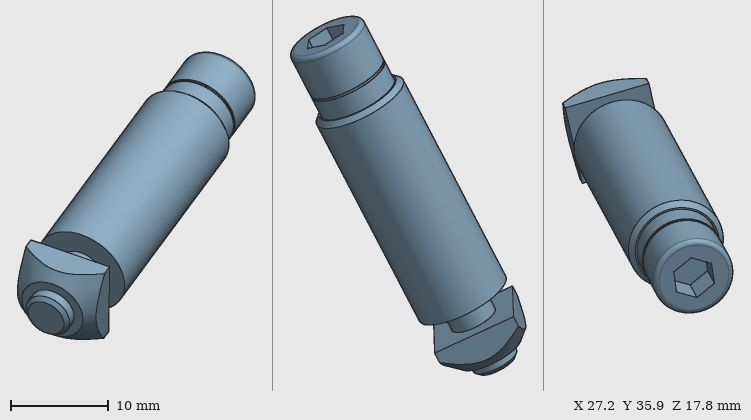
import cadquery as cq
import math

AXIS_HEADING = -56.8
AXIS_PITCH = -14.5

HEAD_DIAMETER = 8.4
HEAD_LENGTH = 10.0
HEAD_ROUND = 0.5
GROOVE_START = 5.0
GROOVE_WIDTH = 0.25
GROOVE_DEPTH = 0.07
SHANK_DIAMETER = 5.0
SCREW_LENGTH = 40.02
TIP_DIAMETER = 4.12
SOCKET_ACROSS_FLATS = 4.0
SOCKET_DEPTH = 3.0
SOCKET_SPIN = 26

SLEEVE_DIAMETER = 10.0
COUNTERBORE_DIAMETER = 8.5
SLEEVE_START = 7.42
SLEEVE_CHAMFER = 0.57
SLEEVE_END = 32.0

NUT_SIDE = 9.0
NUT_START = 34.55
NUT_LENGTH = 4.0
NUT_FRONT_DIAMETER = 7.0
NUT_CONE_ANGLE = 45
NUT_SPIN = -8

heading = math.radians(AXIS_HEADING)
pitch = math.radians(AXIS_PITCH)
AXIS = cq.Vector(
    math.cos(pitch) * math.cos(heading),
    math.cos(pitch) * math.sin(heading),
    math.sin(pitch),
)
LEVEL = cq.Vector(math.sin(heading), -math.cos(heading), 0)


HEAD_SIDE = cq.selectors.DirectionMinMaxSelector(AXIS, False)
TIP_SIDE = cq.selectors.DirectionMinMaxSelector(AXIS, True)


def axis_plane(distance, spin=0):
    """Plane across the axis, with its x direction turned by spin from level."""
    middle = SCREW_LENGTH / 2
    plane = cq.Plane(origin=AXIS * (distance - middle), xDir=LEVEL, normal=AXIS)
    return plane.rotated((0, 0, spin))


def cylinder(diameter, start, end):
    return cq.Workplane(axis_plane(start)).circle(diameter / 2).extrude(end - start)


def make_screw():
    head = cylinder(HEAD_DIAMETER, 0, HEAD_LENGTH)
    head = head.faces(HEAD_SIDE).edges().fillet(HEAD_ROUND)
    groove_end = GROOVE_START + GROOVE_WIDTH
    groove = cylinder(HEAD_DIAMETER, GROOVE_START, groove_end)
    groove = groove.cut(cylinder(HEAD_DIAMETER - 2 * GROOVE_DEPTH, GROOVE_START, groove_end))
    head = head.cut(groove)
    shank = cylinder(SHANK_DIAMETER, HEAD_LENGTH, SCREW_LENGTH)
    tip_chamfer = (SHANK_DIAMETER - TIP_DIAMETER) / 2
    shank = shank.faces(TIP_SIDE).edges().chamfer(tip_chamfer)
    across_corners = SOCKET_ACROSS_FLATS / math.cos(math.radians(30))
    socket = cq.Workplane(axis_plane(0, SOCKET_SPIN)).polygon(6, across_corners).extrude(SOCKET_DEPTH)
    return head.union(shank).cut(socket)


def make_sleeve():
    barrel = cylinder(SLEEVE_DIAMETER, SLEEVE_START, SLEEVE_END)
    barrel = barrel.faces(HEAD_SIDE).edges().chamfer(SLEEVE_CHAMFER)
    counterbore = cylinder(COUNTERBORE_DIAMETER, SLEEVE_START, HEAD_LENGTH)
    bore = cylinder(SHANK_DIAMETER, HEAD_LENGTH, SLEEVE_END)
    return barrel.cut(counterbore).cut(bore)


def make_nut():
    nut_end = NUT_START + NUT_LENGTH
    block = cq.Workplane(axis_plane(NUT_START, NUT_SPIN)).rect(NUT_SIDE, NUT_SIDE).extrude(NUT_LENGTH)
    front_radius = NUT_FRONT_DIAMETER / 2
    back_radius = front_radius + NUT_LENGTH * math.tan(math.radians(NUT_CONE_ANGLE))
    cone = cq.Solid.makeCone(
        back_radius, front_radius, NUT_LENGTH, axis_plane(NUT_START).origin, AXIS
    )
    thread_hole = cylinder(SHANK_DIAMETER, NUT_START, nut_end)
    return block.intersect(cq.Workplane(cone)).cut(thread_hole)


screw = make_screw()
sleeve = make_sleeve()
nut = make_nut()

result = cq.Compound.makeCompound([screw.val(), sleeve.val(), nut.val()])